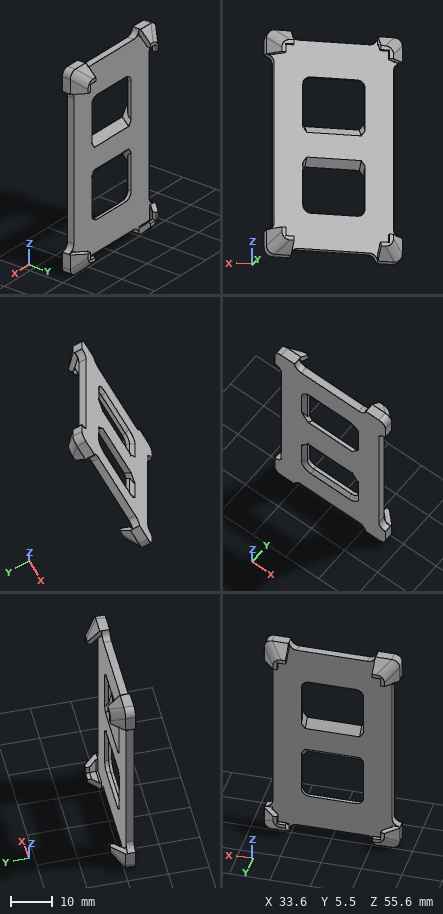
import cadquery as cq

LENGTH = 55.55
WIDTH = 33.55
PLATE_THICKNESS = 2.0
EDGE_RECESS = 2.0
CORNER_RADIUS = 2.0

CLAW_SIZE = 6.05
CLAW_UPRIGHT_DEPTH = 2.5
CLAW_DEPTH = 5.5
CLAW_LEAN = CLAW_DEPTH - CLAW_UPRIGHT_DEPTH
CLAW_WALL = EDGE_RECESS
LIP_DEPTH = 1.0

WINDOW_WIDTH = 17.35
WINDOW_TOP = 17.85
WINDOW_BOTTOM = 5.05
WINDOW_CHAMFER = 1.0
WINDOW_RADIUS = 2.0
CUT_CORNER_WIDTH = 1.95
CUT_CORNER_HEIGHT = 2.8

RIGHT = WIDTH / 2
TOP = LENGTH / 2
CLAW_LEFT = RIGHT - CLAW_SIZE
CLAW_BOTTOM = TOP - CLAW_SIZE


def sketch_at(depth):
    """XZ sketch at Y = depth; a negative extrusion runs towards +Y."""
    return cq.Workplane("XZ", origin=(0, depth, 0))


def ruled_solid(*sketches):
    """Solid with straight walls running through the closed outlines in turn."""
    wires = [sketch.val() for sketch in sketches]
    return cq.Workplane(cq.Solid.makeLoft(wires, True))


def claw_outline(depth, inset):
    """Claw block whose two outer sides are moved inwards by inset."""
    right = RIGHT - inset
    top = TOP - inset
    return (
        sketch_at(depth)
        .moveTo(CLAW_LEFT, CLAW_BOTTOM)
        .lineTo(right, CLAW_BOTTOM)
        .lineTo(right, top - CORNER_RADIUS)
        .radiusArc((right - CORNER_RADIUS, top), -CORNER_RADIUS)
        .lineTo(CLAW_LEFT, top)
        .close()
    )


def hollow_outline(depth, inset):
    """Rectangular section of the space enclosed by all four claws."""
    return sketch_at(depth).rect(WIDTH - 2 * inset, LENGTH - 2 * inset)


def claw_hollow():
    """Space behind the plate: upright, then leaning with the claw walls, then upright at the lips."""
    lip_start = CLAW_DEPTH - LIP_DEPTH
    lip_inset = CLAW_WALL + lip_start - CLAW_UPRIGHT_DEPTH
    return ruled_solid(
        hollow_outline(PLATE_THICKNESS, CLAW_WALL),
        hollow_outline(CLAW_UPRIGHT_DEPTH, CLAW_WALL),
        hollow_outline(lip_start, lip_inset),
        hollow_outline(CLAW_DEPTH, lip_inset),
    )


def claw():
    solid_claw = ruled_solid(
        claw_outline(0, 0),
        claw_outline(CLAW_UPRIGHT_DEPTH, 0),
        claw_outline(CLAW_DEPTH, CLAW_LEAN),
    )
    return solid_claw.cut(claw_hollow())


def transition_fillets():
    """Concave fillets where the claw sides step down to the recessed plate edges."""
    edge_z = TOP - EDGE_RECESS
    edge_x = RIGHT - EDGE_RECESS
    top_fillet = (
        sketch_at(0)
        .moveTo(CLAW_LEFT, edge_z)
        .lineTo(CLAW_LEFT - CORNER_RADIUS, edge_z)
        .radiusArc((CLAW_LEFT, edge_z + CORNER_RADIUS), -CORNER_RADIUS)
        .close()
        .extrude(-PLATE_THICKNESS)
    )
    side_fillet = (
        sketch_at(0)
        .moveTo(edge_x, CLAW_BOTTOM)
        .lineTo(edge_x, CLAW_BOTTOM - CORNER_RADIUS)
        .radiusArc((edge_x + CORNER_RADIUS, CLAW_BOTTOM), CORNER_RADIUS)
        .close()
        .extrude(-PLATE_THICKNESS)
    )
    return top_fillet.union(side_fillet)


def window_outline(depth, inset):
    """Window section; its bottom and cut corners drop by the depth, a 45 degree slope."""
    half_width = WINDOW_WIDTH / 2
    side = half_width - inset
    top = WINDOW_TOP - inset
    radius = WINDOW_RADIUS + WINDOW_CHAMFER - inset
    bottom = WINDOW_BOTTOM - depth
    bottom_half = half_width - CUT_CORNER_WIDTH
    side_bottom = bottom + (side - bottom_half) * CUT_CORNER_HEIGHT / CUT_CORNER_WIDTH
    return (
        sketch_at(depth)
        .moveTo(bottom_half, bottom)
        .lineTo(side, side_bottom)
        .lineTo(side, top - radius)
        .radiusArc((side - radius, top), -radius)
        .lineTo(radius - side, top)
        .radiusArc((-side, top - radius), -radius)
        .lineTo(-side, side_bottom)
        .lineTo(-bottom_half, bottom)
        .close()
    )


def window():
    return ruled_solid(
        window_outline(0, 0),
        window_outline(WINDOW_CHAMFER, WINDOW_CHAMFER),
        window_outline(PLATE_THICKNESS, WINDOW_CHAMFER),
    )


plate = hollow_outline(0, EDGE_RECESS).extrude(-PLATE_THICKNESS)

right_corner = claw().union(transition_fillets())
top_corners = right_corner.union(right_corner.mirror("YZ"))
result = plate.union(top_corners).union(top_corners.mirror("XY"))

upper_window = window()
result = result.cut(upper_window).cut(upper_window.mirror("XY"))